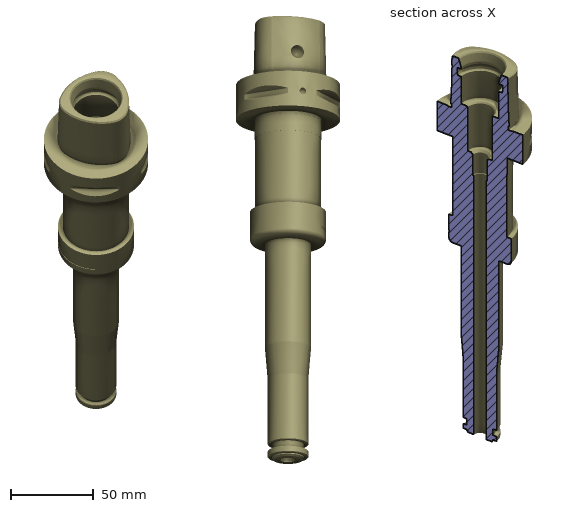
import cadquery as cq
import math

total_length = 273.5

tip_chamfer = 1.0
lip_bottom = 1.6
lip_top = 5.5
groove_top = 9.5
cone_bottom = 51.0
cone_top = 70.5
collar_bottom = 135.5
collar_top = 155.5
neck_step = 201.5
flange_root = 212.2
flange_bottom = 213.5
flange_top = 235.5
shank_foot = 237.5

tip_diameter = 19.5
groove_diameter = 19.5
spigot_diameter = 24.5
lip_edge_diameter = 23.8
stem_diameter = 28.0
collar_diameter = 46.0
neck_diameter = 40.0
neck_upper_diameter = 40.2
flange_root_diameter = 40.5
flange_diameter = 63.0

lip_chamfer = (spigot_diameter - lip_edge_diameter) / 2
collar_round = 3.3

relief_top_radius = 24.3
relief_floor_radius = 22.7
relief_depth = 0.4
relief_floor = flange_top - relief_depth

flat_radius = 20.5
lobe_radius = 23.5
side_arc_radius = 32.3
shank_taper = math.degrees(math.atan(1 / 40))
shank_top_chamfer = 0.8
foot_inset = 0.68

mouth_diameter = 32.0
mouth_throat_diameter = 30.5
mouth_chamfer = 0.8
lip_top_depth = 6.0
lip_underside_depth = 7.7
undercut_diameter = 33.0
undercut_floor_diameter = 32.0
undercut_wall_depth = 11.5
undercut_depth = 12.9
main_bore_diameter = 27.4
main_bore_depth = 32.8
middle_mouth_diameter = 19.5
middle_bore_diameter = 17.8
middle_bore_depth = 65.6
coolant_mouth_diameter = 13.0
coolant_throat_diameter = 10.0
coolant_throat_depth = 82.0
coolant_diameter = 9.0

slot_height = 223.2
slot_floor_width = 3.0
slot_floor_distance = 27.5
slot_flank_angle = 32.0

shank_dimple_diameter = 8.2
shank_dimple_height = 251.0
flange_dimple_diameter = 4.0

recess_bottom = 142.2
recess_width = 1.6
recess_depth = 0.3
recess_sweep = 92.0


def body():
    """Turned body from the tip up to the flange, including the relief ring."""
    tip_r = tip_diameter / 2
    spigot_r = spigot_diameter / 2
    lip_edge_r = lip_edge_diameter / 2
    groove_r = groove_diameter / 2
    stem_r = stem_diameter / 2
    collar_r = collar_diameter / 2
    neck_r = neck_diameter / 2
    neck_upper_r = neck_upper_diameter / 2
    root_r = flange_root_diameter / 2
    flange_r = flange_diameter / 2
    round_center = (collar_r - collar_round, collar_bottom + collar_round)
    round_middle = (
        round_center[0] + collar_round * math.cos(math.pi / 4),
        round_center[1] - collar_round * math.sin(math.pi / 4),
    )
    return (
        cq.Workplane("XZ")
        .lineTo(tip_r - tip_chamfer, 0)
        .lineTo(tip_r, tip_chamfer)
        .lineTo(tip_r, lip_bottom)
        .lineTo(lip_edge_r, lip_bottom)
        .lineTo(spigot_r, lip_bottom + lip_chamfer)
        .lineTo(spigot_r, lip_top - lip_chamfer)
        .lineTo(lip_edge_r, lip_top)
        .lineTo(groove_r, lip_top)
        .lineTo(groove_r, groove_top)
        .lineTo(lip_edge_r, groove_top)
        .lineTo(spigot_r, groove_top + lip_chamfer)
        .lineTo(spigot_r, cone_bottom)
        .lineTo(stem_r, cone_top)
        .lineTo(stem_r, collar_bottom)
        .lineTo(collar_r - collar_round, collar_bottom)
        .threePointArc(round_middle, (collar_r, collar_bottom + collar_round))
        .lineTo(collar_r, collar_top)
        .lineTo(neck_r, collar_top)
        .lineTo(neck_r, neck_step)
        .lineTo(neck_upper_r, neck_step)
        .lineTo(neck_upper_r, flange_root)
        .lineTo(root_r, flange_root)
        .lineTo(root_r, flange_bottom)
        .lineTo(flange_r, flange_bottom)
        .lineTo(flange_r, flange_top)
        .lineTo(relief_top_radius, flange_top)
        .lineTo(relief_floor_radius, relief_floor)
        .lineTo(0, relief_floor)
        .close()
        .revolve(360, (0, 0), (0, 1))
    )


def polar(radius, degrees):
    angle = math.radians(degrees)
    return radius * math.cos(angle), radius * math.sin(angle)


def lobed_outline(bottom, inset):
    """Closed outline of three wide arcs and three tangent lobe arcs, moved inwards by inset."""
    side_offset = side_arc_radius - flat_radius
    peak_gap = side_arc_radius - lobe_radius
    lobe_offset = (side_offset**2 - peak_gap**2) / (2 * peak_gap - side_offset)
    joint_angle = math.degrees(math.atan2(
        lobe_offset * math.sin(math.pi / 3), side_offset + lobe_offset / 2
    ))
    reach = side_arc_radius - inset
    joint_x = side_offset - reach * math.cos(math.radians(joint_angle))
    joint_y = reach * math.sin(math.radians(joint_angle))
    joint_radius = math.hypot(joint_x, joint_y)
    half_lobe = math.degrees(math.atan2(joint_y, joint_x)) - 120

    outline = cq.Workplane("XY").workplane(offset=bottom).moveTo(*polar(joint_radius, -half_lobe))
    for lobe in (0, 120, 240):
        outline = outline.threePointArc(
            polar(lobe_radius - inset, lobe), polar(joint_radius, lobe + half_lobe)
        ).threePointArc(
            polar(flat_radius - inset, lobe + 60), polar(joint_radius, lobe + 120 - half_lobe)
        )
    return outline.close()


def shank():
    """Tapered three-lobed shank standing on an inset foot."""
    foot = lobed_outline(relief_floor, foot_inset).extrude(shank_foot - relief_floor)
    taper_part = lobed_outline(shank_foot, 0).extrude(total_length - shank_foot, taper=shank_taper)
    taper_part = taper_part.faces(">Z").chamfer(shank_top_chamfer)
    return foot.union(taper_part)


def bore():
    """Stepped axial bore, open at both ends, with 45 degree chamfers on its lower steps."""
    mouth_r = mouth_diameter / 2
    mouth_throat_r = mouth_throat_diameter / 2
    undercut_r = undercut_diameter / 2
    undercut_floor_r = undercut_floor_diameter / 2
    main_r = main_bore_diameter / 2
    middle_mouth_r = middle_mouth_diameter / 2
    middle_r = middle_bore_diameter / 2
    coolant_mouth_r = coolant_mouth_diameter / 2
    coolant_throat_r = coolant_throat_diameter / 2
    coolant_r = coolant_diameter / 2
    profile = [
        (0, 0),
        (mouth_r, 0),
        (mouth_throat_r, mouth_chamfer),
        (main_r, lip_top_depth),
        (main_r, lip_underside_depth),
        (undercut_r, lip_underside_depth),
        (undercut_r, undercut_wall_depth),
        (undercut_floor_r, undercut_depth),
        (main_r, undercut_depth),
        (main_r, main_bore_depth),
        (middle_mouth_r, main_bore_depth),
        (middle_r, main_bore_depth + middle_mouth_r - middle_r),
        (middle_r, middle_bore_depth),
        (coolant_mouth_r, middle_bore_depth),
        (coolant_throat_r, middle_bore_depth + coolant_mouth_r - coolant_throat_r),
        (coolant_throat_r, coolant_throat_depth),
        (coolant_r, coolant_throat_depth),
        (coolant_r, total_length),
        (0, total_length),
    ]
    return (
        cq.Workplane("XZ")
        .polyline([(radius, total_length - depth) for radius, depth in profile])
        .close()
        .revolve(360, (0, 0), (0, 1))
    )


def gripper_slots():
    """Four straight trapezoidal slots across the flange rim, at 45 degrees to X and Y."""
    flange_r = flange_diameter / 2
    floor_half = slot_floor_width / 2
    mouth_half = floor_half + (flange_r - slot_floor_distance) * math.tan(math.radians(slot_flank_angle))
    slot = (
        cq.Workplane("XZ")
        .polyline([
            (slot_floor_distance, slot_height - floor_half),
            (flange_r, slot_height - mouth_half),
            (flange_r, slot_height + mouth_half),
            (slot_floor_distance, slot_height + floor_half),
        ])
        .close()
        .extrude(flange_r, both=True)
    )
    slots = cq.Workplane("XY")
    for angle in (45, 135, 225, 315):
        slots = slots.add(slot.rotate((0, 0, 0), (0, 0, 1), angle))
    return slots.combine()


def dimple(diameter, face_distance, height):
    """Round-ended bore from the -X side, its dome starting at face_distance from the axis."""
    radius = diameter / 2
    dome_x, dome_z = polar(radius, 45)
    return (
        cq.Workplane("XZ")
        .moveTo(-flange_diameter, height)
        .lineTo(-flange_diameter, height + radius)
        .lineTo(-face_distance, height + radius)
        .threePointArc((dome_x - face_distance, height + dome_z), (radius - face_distance, height))
        .close()
        .revolve(360, (0, height), (1, height))
    )


def collar_recess():
    """Shallow arc-shaped recess centred on the -Y side of the collar."""
    collar_r = collar_diameter / 2
    return (
        cq.Workplane("XZ")
        .moveTo(collar_r - recess_depth, recess_bottom)
        .rect(2 * recess_depth, recess_width, centered=False)
        .revolve(recess_sweep, (0, 0), (0, 1))
        .rotate((0, 0, 0), (0, 0, 1), -90 - recess_sweep / 2)
    )


shank_height_above_foot = shank_dimple_height - shank_foot
shank_face = flat_radius - shank_height_above_foot * math.tan(math.radians(shank_taper))

result = body().union(shank()).cut(bore()).cut(gripper_slots())
result = result.cut(dimple(shank_dimple_diameter, shank_face, shank_dimple_height))
result = result.cut(dimple(flange_dimple_diameter, flange_diameter / 2, slot_height))
result = result.cut(collar_recess())